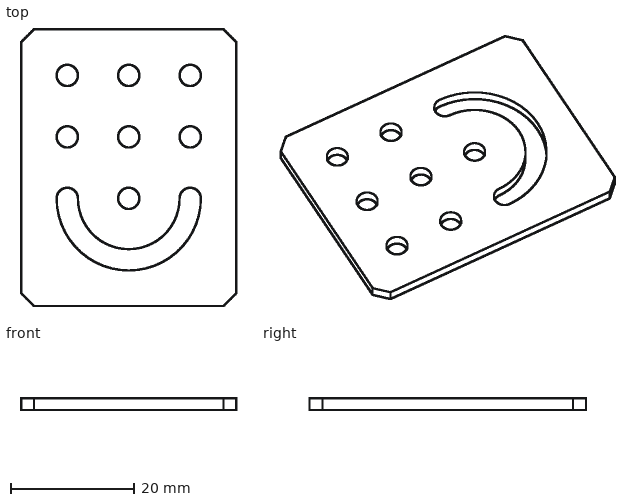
import cadquery as cq

width = 35.0
length = 45
thickness = 2.0
corner_chamfer = 2.1

pitch = 10.0
hole_diameter = 3.4
upper_row_y = 1.5 * pitch
middle_row_y = upper_row_y - pitch
lower_row_y = middle_row_y - pitch

slot_radius = pitch
slot_outer_radius = slot_radius + hole_diameter / 2
slot_inner_radius = slot_radius - hole_diameter / 2


def make_plate():
    plate = cq.Workplane("XY").box(width, length, thickness, centered=(True, True, False))
    return plate.edges("|Z").chamfer(corner_chamfer)


def make_holes():
    centers = [(x, y) for x in (-pitch, 0, pitch) for y in (upper_row_y, middle_row_y)]
    centers.append((0, lower_row_y))
    return (
        cq.Workplane("XY")
        .pushPoints(centers)
        .circle(hole_diameter / 2)
        .extrude(thickness)
    )


def make_curved_slot():
    """Half ring opening toward +Y, with round ends."""
    end_top = hole_diameter / 2
    return (
        cq.Workplane("XY")
        .center(0, lower_row_y)
        .moveTo(-slot_outer_radius, 0)
        .threePointArc((0, -slot_outer_radius), (slot_outer_radius, 0))
        .threePointArc((slot_radius, end_top), (slot_inner_radius, 0))
        .threePointArc((0, -slot_inner_radius), (-slot_inner_radius, 0))
        .threePointArc((-slot_radius, end_top), (-slot_outer_radius, 0))
        .close()
        .extrude(thickness)
    )


result = make_plate().cut(make_holes()).cut(make_curved_slot())